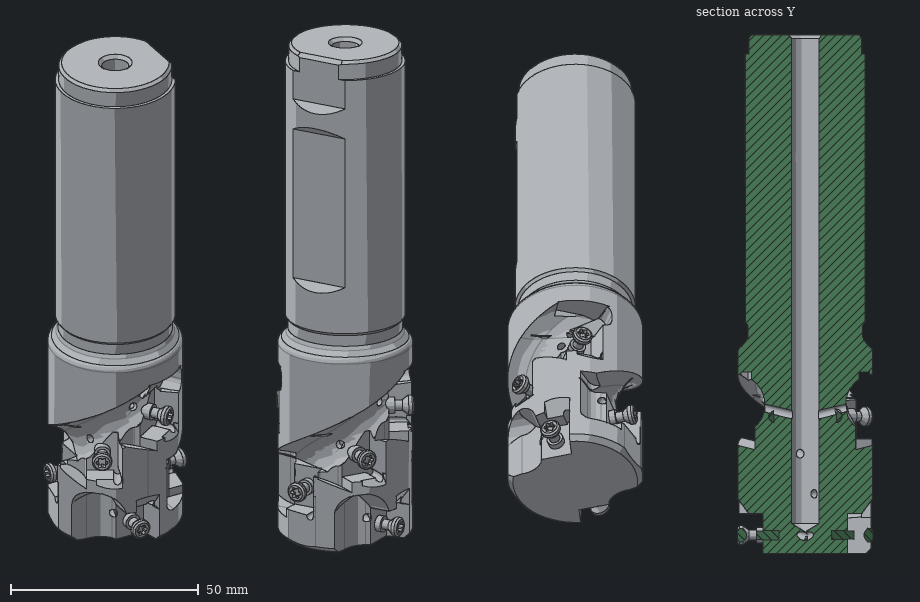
import cadquery as cq
import math

TOTAL_LENGTH = 138.1
HEAD_RADIUS = 18.0
SHANK_RADIUS = 16.0
NECK_RADIUS = 15.3
PILOT_RADIUS = 15.1
OUTSIDE = HEAD_RADIUS + 4.0

PILOT_BOTTOM = 133.0
SHANK_BOTTOM = 61.5
NECK_TOP = 60.7
NECK_BOTTOM = 57.7
SHOULDER_TOP = 56.6
SHOULDER_SPRING = 55.2
SHOULDER_BOTTOM = 53.6
SHOULDER_TOP_RADIUS = 15.8
SHOULDER_SPRING_RADIUS = 17.0
TOP_CHAMFER = 0.8
BOTTOM_CHAMFER = 1.4

FLAT_DEPTH = 2.15
FLAT_END_CHAMFER = 1.1
UPPER_FLAT_BOTTOM = 125.0
LOWER_FLAT_TOP = 116.5
LOWER_FLAT_BOTTOM = 74.5

BORE_RADIUS = 3.6
BORE_MOUTH_RADIUS = 4.5
BORE_MOUTH_DEPTH = 1.0
BORE_BOTTOM = 8.0
BORE_TIP_ANGLE = 118.0
COOLANT_RADIUS = 1.1
COOLANT_OVERRUN = 1.0
COOLANT_OUTLET = 9.9
COOLANT_CLIMB = 3.0
COOLANT_RISE = 2.6

SEAT_LEVELS = [
    (4.9, 180.0, 1.8),
    (15.5, 270.0, 4.8),
    (26.1, 330.0, 3.2),
    (36.5, 393.5, 3.2),
]
FLUTE_ANGLES = (0.0, 180.0)
SEAT_DISTANCE = 11.3
SCREW_TO_WALL = 5.5
SCREW_TO_GULLET = 4.2
SEAT_BELOW = 5.9
SEAT_ABOVE = 5.7
SEAT_WALL_LEAN = 1.4
CORNER_RELIEF_RADIUS = 1.1
RUNOUT_WIDTH = 7.0
UPPER_RUNOUT = (4.0, 3.0)
LOWER_RUNOUT = (2.0, 1.5)

GULLET_STEP = 10.0
GULLET_STEP_LEAN = 0.6
GULLET_CURVE_REACH = 7.8
GULLET_FLOOR_START = (7.2, -12.7)
GULLET_EDGE = (6.4, -17.0)
FIRST_GULLET_ROUNDING = 6.0
SECOND_GULLET_ROUNDING = 2.7
FIRST_GULLET_TOP = 16.5
FIRST_GULLET_SPRING = 10.5
SECOND_GULLET_BOTTOM = 7.2
SECOND_GULLET_TOP = 23.5
LEDGE_DROP = 8.8
LEDGE_RISE = 3.2
LEDGE_LENGTH = 7.0

FLUTE_BOTTOM = 21.0
FLUTE_NARROWING = 41.5
FLUTE_POCKET_TOP = 48.3
FLUTE_LEAD = 60.0
FLUTE_TAIL_ANGLE = -161.0
FLUTE_WIDE_SPAN = 82.0
FLUTE_NARROW_SPAN = 44.0
FLUTE_CLEARANCE = 1.4 * OUTSIDE
FLUTE_FLOOR = 10.9
FLUTE_FLOOR_TURN = 49.0
FLUTE_OVERRUN = 0.8
FLUTE_WALL_TURN = 14.0
POCKET_FLOOR = 12.0
POCKET_END_RADIUS = 2.6
POCKET_DROP = 1.0
POCKET_LAP = 2.0

RELIEF_DISTANCE = 17.35
RELIEF_ANGLE = 270.0 - 11.5

SCREW_TIP = 7.0
SCREW_THREAD_END = 13.0
SCREW_CONE_START = 15.0
SCREW_RIM_START = 16.6
SCREW_HEAD_END = HEAD_RADIUS + 0.05
THREAD_RADIUS = 2.15
SCREW_NECK_RADIUS = 1.4
SCREW_HEAD_RADIUS = 2.6
HEAD_CHAMFER = 0.5
SOCKET_RADIUS = 1.15
SOCKET_LOBE_RADIUS = 0.4
SOCKET_DEPTH = 1.5


def placed(shape, facing, flute_angle):
    """Turn a shape built facing +X to its place round the axis."""
    return shape.rotate((0, 0, 0), (0, 0, 1), facing + flute_angle)


def blank():
    profile = (
        cq.Workplane("XZ")
        .moveTo(0, 0)
        .lineTo(HEAD_RADIUS - BOTTOM_CHAMFER, 0)
        .lineTo(HEAD_RADIUS, BOTTOM_CHAMFER)
        .lineTo(HEAD_RADIUS, SHOULDER_BOTTOM)
        .tangentArcPoint((SHOULDER_SPRING_RADIUS, SHOULDER_SPRING), relative=False)
        .lineTo(SHOULDER_TOP_RADIUS, SHOULDER_TOP)
        .lineTo(NECK_RADIUS, NECK_BOTTOM)
        .lineTo(NECK_RADIUS, NECK_TOP)
        .lineTo(SHANK_RADIUS, SHANK_BOTTOM)
        .lineTo(SHANK_RADIUS, PILOT_BOTTOM)
        .lineTo(PILOT_RADIUS, PILOT_BOTTOM)
        .lineTo(PILOT_RADIUS, TOTAL_LENGTH - TOP_CHAMFER)
        .lineTo(PILOT_RADIUS - TOP_CHAMFER, TOTAL_LENGTH)
        .lineTo(0, TOTAL_LENGTH)
        .close()
    )
    return profile.revolve(360, (0, 0, 0), (0, 1, 0))


def clamping_flat(bottom, top):
    """Flat on the +Y side with 45 degree ends."""
    floor = SHANK_RADIUS - FLAT_DEPTH
    reach = OUTSIDE - floor
    outline = [(floor, bottom), (OUTSIDE, bottom - reach), (OUTSIDE, top + reach), (floor, top)]
    return cq.Workplane("YZ").polyline(outline).close().extrude(OUTSIDE, both=True)


def flat_end_chamfer():
    """Bevel where the upper flat meets the end face."""
    floor = SHANK_RADIUS - FLAT_DEPTH
    outline = [
        (floor, TOTAL_LENGTH - FLAT_END_CHAMFER),
        (floor, TOTAL_LENGTH),
        (floor - FLAT_END_CHAMFER, TOTAL_LENGTH),
    ]
    return cq.Workplane("YZ").polyline(outline).close().extrude(OUTSIDE, both=True)


def coolant_bore():
    tip = BORE_RADIUS / math.tan(math.radians(BORE_TIP_ANGLE / 2))
    mouth = TOTAL_LENGTH - BORE_MOUTH_DEPTH
    outline = [
        (0, BORE_BOTTOM - tip),
        (BORE_RADIUS, BORE_BOTTOM),
        (BORE_RADIUS, mouth),
        (BORE_MOUTH_RADIUS, TOTAL_LENGTH),
        (0, TOTAL_LENGTH),
    ]
    return cq.Workplane("XZ").polyline(outline).close().revolve(360, (0, 0, 0), (0, 1, 0))


def seat_pocket(height, offset, relief_side):
    """Flat seat facing +X with a leaning wall; a round relief opens its top (1) or bottom (-1) corner."""
    wall = SCREW_TO_WALL - offset
    wall_foot = wall - SEAT_WALL_LEAN
    edge = -(offset + SCREW_TO_GULLET)
    bottom = height - SEAT_BELOW
    plan = [
        (SEAT_DISTANCE, edge),
        (SEAT_DISTANCE, wall_foot),
        (HEAD_RADIUS, wall),
        (OUTSIDE, wall),
        (OUTSIDE, edge),
    ]
    pocket = cq.Workplane("XY", origin=(0, 0, bottom)).polyline(plan).close().extrude(SEAT_BELOW + SEAT_ABOVE)
    corner_height = height + SEAT_ABOVE if relief_side > 0 else bottom
    corner = (
        cq.Workplane("YZ", origin=(SEAT_DISTANCE, 0, 0))
        .center(wall_foot, corner_height)
        .circle(CORNER_RELIEF_RADIUS)
        .extrude(OUTSIDE - SEAT_DISTANCE)
    )
    return pocket.union(corner)


def seat_runout(height, offset, side, size):
    """Sloping cutter run-out beyond the seat, above (side 1) or below (side -1) it."""
    end = height + side * (SEAT_ABOVE if side > 0 else SEAT_BELOW)
    rise, depth = size
    root = HEAD_RADIUS - depth
    outline = [
        (root, end - side),
        (root, end),
        (HEAD_RADIUS, end + side * rise),
        (OUTSIDE, end + side * rise),
        (OUTSIDE, end - side),
    ]
    wall = SCREW_TO_WALL - offset
    prism = cq.Workplane("XZ", origin=(0, wall, 0)).polyline(outline).close()
    return prism.extrude(RUNOUT_WIDTH)


def gullet(offset, side_outline):
    """Hollow beside a seat, kept inside an outline in the YZ plane."""
    edge = -(offset + SCREW_TO_GULLET)
    middle = (GULLET_CURVE_REACH, (edge + GULLET_FLOOR_START[1]) / 2)
    plan = (
        cq.Workplane("XY")
        .moveTo(OUTSIDE, edge)
        .lineTo(SEAT_DISTANCE, edge)
        .lineTo(GULLET_STEP, edge - GULLET_STEP_LEAN)
        .threePointArc(middle, GULLET_FLOOR_START)
        .lineTo(*GULLET_EDGE)
        .lineTo(GULLET_EDGE[0], -OUTSIDE)
        .lineTo(OUTSIDE, -OUTSIDE)
        .close()
        .extrude(FLUTE_POCKET_TOP)
    )
    return plan.intersect(side_outline.extrude(OUTSIDE))


def rounded_end(end, side, radius):
    """Space above (side 1) or below (side -1) a gullet end that curves into the gullet floor."""
    floor = GULLET_EDGE[0]
    bulge = radius * (1 - math.sqrt(0.5))
    outline = (
        cq.Workplane("XZ")
        .moveTo(0, end + side * radius)
        .lineTo(floor, end + side * radius)
        .threePointArc((floor + bulge, end + side * bulge), (floor + radius, end))
        .lineTo(OUTSIDE, end)
        .lineTo(OUTSIDE, end + side * FLUTE_POCKET_TOP)
        .lineTo(0, end + side * FLUTE_POCKET_TOP)
        .close()
    )
    return outline.extrude(OUTSIDE, both=True)


def first_gullet(offset):
    """Arched gullet open at the bottom face."""
    edge = -(offset + SCREW_TO_GULLET)
    outline = (
        cq.Workplane("YZ")
        .moveTo(edge, 0)
        .lineTo(edge, FIRST_GULLET_SPRING)
        .threePointArc(((edge + GULLET_EDGE[1]) / 2, FIRST_GULLET_TOP), (-OUTSIDE, FIRST_GULLET_SPRING))
        .lineTo(-OUTSIDE, 0)
        .close()
    )
    return gullet(offset, outline).intersect(rounded_end(FIRST_GULLET_TOP, -1, FIRST_GULLET_ROUNDING))


def second_gullet(offset):
    edge = -(offset + SCREW_TO_GULLET)
    corners = [(edge, SECOND_GULLET_BOTTOM), (-OUTSIDE, SECOND_GULLET_BOTTOM)]
    corners += [(-OUTSIDE, SECOND_GULLET_TOP), (edge, SECOND_GULLET_TOP)]
    pocket = gullet(offset, cq.Workplane("YZ").polyline(corners).close())
    return pocket.intersect(rounded_end(SECOND_GULLET_BOTTOM, 1, SECOND_GULLET_ROUNDING))


def upper_gullet(height, offset):
    """Gullet over a sloping ledge, opening into the helical flute."""
    edge = -(offset + SCREW_TO_GULLET)
    top = height + SEAT_ABOVE
    low = height - LEDGE_DROP
    far = edge - LEDGE_LENGTH
    corners = [(edge, low), (far, low + LEDGE_RISE), (far, top), (edge, top)]
    return gullet(offset, cq.Workplane("YZ").polyline(corners).close())


def polar(radius, degrees):
    angle = math.radians(degrees)
    return (radius * math.cos(angle), radius * math.sin(angle))


def flute_stretch(bottom, top, span):
    """Length of the helical flute, with a flat floor rounding up to its upper edge."""
    turn_rate = 360.0 / FLUTE_LEAD
    tail = FLUTE_TAIL_ANGLE + turn_rate * (bottom - FLUTE_BOTTOM)
    lead = tail + span

    def floor_point(turn):
        radius = FLUTE_FLOOR / math.cos(math.radians(turn - FLUTE_FLOOR_TURN))
        return polar(radius, tail + turn)

    section = (
        cq.Workplane("XY", origin=(0, 0, bottom))
        .moveTo(*polar(OUTSIDE, lead))
        .lineTo(*floor_point(span))
        .lineTo(*floor_point(FLUTE_WALL_TURN))
        .tangentArcPoint(polar(HEAD_RADIUS + FLUTE_OVERRUN, tail), relative=False)
        .lineTo(*polar(OUTSIDE, tail))
        .lineTo(*polar(FLUTE_CLEARANCE, tail + span / 2))
        .close()
    )
    rise = top - bottom
    return section.twistExtrude(rise, turn_rate * rise)


def flute_end_pocket(height, offset):
    """Round-ended pocket over the top seat, where the flute stops."""
    wall = SCREW_TO_WALL - offset + POCKET_END_RADIUS
    edge = -(offset + SCREW_TO_GULLET + POCKET_LAP)
    bottom = height + SEAT_ABOVE - POCKET_DROP
    pocket = cq.Workplane("XY").box(
        OUTSIDE - POCKET_FLOOR, wall - edge, FLUTE_POCKET_TOP - bottom, centered=False
    )
    pocket = pocket.edges("|X and >Y").fillet(POCKET_END_RADIUS)
    return pocket.translate((POCKET_FLOOR, edge, bottom))


def relief_flat():
    block = cq.Workplane("XY").box(
        OUTSIDE - RELIEF_DISTANCE, HEAD_RADIUS, SEAT_LEVELS[1][0], centered=(False, True, False)
    )
    return block.translate((RELIEF_DISTANCE, 0, 0))


def coolant_hole(height, offset):
    """Straight hole from the bore to the step beside a seat."""
    outlet_side = -(offset + SCREW_TO_GULLET)
    direction = cq.Vector(COOLANT_OUTLET, outlet_side, COOLANT_CLIMB)
    origin = cq.Vector(0, 0, height + COOLANT_RISE - COOLANT_CLIMB)
    drill = cq.Solid.makeCylinder(COOLANT_RADIUS, direction.Length + COOLANT_OVERRUN, origin, direction)
    return cq.Workplane(obj=drill)


def screw_hole(height, offset):
    start = cq.Workplane("YZ", origin=(SCREW_TIP, -offset, height))
    return start.circle(THREAD_RADIUS).extrude(OUTSIDE - SCREW_TIP)


def make_screw(height, offset):
    """Countersunk screw along +X with a six-lobed socket."""
    outline = [
        (SCREW_TIP, 0),
        (SCREW_TIP, THREAD_RADIUS),
        (SCREW_THREAD_END, THREAD_RADIUS),
        (SCREW_THREAD_END, SCREW_NECK_RADIUS),
        (SCREW_CONE_START, SCREW_NECK_RADIUS),
        (SCREW_RIM_START, SCREW_HEAD_RADIUS),
        (SCREW_HEAD_END - HEAD_CHAMFER, SCREW_HEAD_RADIUS),
        (SCREW_HEAD_END, SCREW_HEAD_RADIUS - HEAD_CHAMFER),
        (SCREW_HEAD_END, 0),
    ]
    screw = cq.Workplane("XY").polyline(outline).close().revolve(360, (0, 0, 0), (1, 0, 0))
    socket_floor = cq.Workplane("YZ", origin=(SCREW_HEAD_END - SOCKET_DEPTH, 0, 0))
    socket = socket_floor.circle(SOCKET_RADIUS).extrude(SOCKET_DEPTH)
    lobes = socket_floor.polarArray(SOCKET_RADIUS, 0, 360, 6).circle(SOCKET_LOBE_RADIUS)
    screw = screw.cut(socket).cut(lobes.extrude(SOCKET_DEPTH))
    return screw.translate((0, -offset, height))


body = blank()
body = body.cut(clamping_flat(UPPER_FLAT_BOTTOM, TOTAL_LENGTH))
body = body.cut(clamping_flat(LOWER_FLAT_BOTTOM, LOWER_FLAT_TOP))
body = body.cut(flat_end_chamfer())
body = body.cut(coolant_bore())

for flute_angle in FLUTE_ANGLES:
    lower_flute = flute_stretch(FLUTE_BOTTOM, FLUTE_NARROWING, FLUTE_WIDE_SPAN)
    upper_flute = flute_stretch(FLUTE_NARROWING, FLUTE_POCKET_TOP, FLUTE_NARROW_SPAN)
    body = body.cut(placed(lower_flute, 0, flute_angle))
    body = body.cut(placed(upper_flute, 0, flute_angle))
    body = body.cut(placed(relief_flat(), RELIEF_ANGLE, flute_angle))
    for level, (height, facing, offset) in enumerate(SEAT_LEVELS):
        cutters = [seat_pocket(height, offset, 1 if level == 0 else -1)]
        if level == 0:
            cutters.append(first_gullet(offset))
            cutters.append(seat_runout(height, offset, 1, UPPER_RUNOUT))
        elif level == 1:
            cutters.append(second_gullet(offset))
        else:
            cutters.append(upper_gullet(height, offset))
            cutters.append(seat_runout(height, offset, -1, LOWER_RUNOUT))
        if level == len(SEAT_LEVELS) - 1:
            cutters.append(flute_end_pocket(height, offset))
        cutters.append(screw_hole(height, offset))
        cutters.append(coolant_hole(height, offset))
        for cutter in cutters:
            body = body.cut(placed(cutter, facing, flute_angle))

screws = []
for flute_angle in FLUTE_ANGLES:
    for height, facing, offset in SEAT_LEVELS:
        screws.append(placed(make_screw(height, offset), facing, flute_angle))

result = cq.Compound.makeCompound([body.val(), *[screw.val() for screw in screws]])